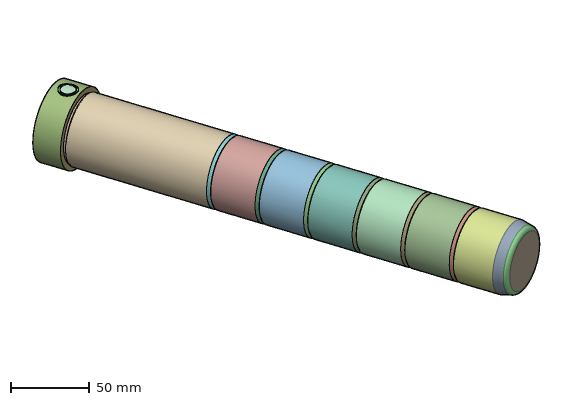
import cadquery as cq

length = 340.0
head_diameter = 56.0
head_length = 20.0
shank_diameter = 50.0

relief_width = 2.0
relief_depth = 1.0

groove_count = 6
first_groove_offset = 123.8
groove_pitch = 35.0
groove_ramp = 2.5
groove_wall = 0.7
groove_depth = 1.0

lead_length = 10.0
lead_drop = 1.7
tip_radius = 3.0

mark_offset = 11.0
mark_diameter = 13.3
mark_line_width = 1.5
mark_depth = 0.7

centre_diameter = 7.5
pilot_diameter = 3.5
cone_depth = 3.5
pilot_depth = 8.5

x_start = -length / 2
x_end = length / 2
head_radius = head_diameter / 2
shank_radius = shank_diameter / 2


def revolve_about_axis(profile):
    """Turn a closed profile, drawn as (x, radius), about the pin axis."""
    return profile.close().revolve(360, (0, 0, 0), (1, 0, 0))


def make_pin():
    head_back = x_start + head_length
    relief_radius = shank_radius - relief_depth
    tip_start_radius = shank_radius - lead_drop

    profile = cq.Workplane("XZ").moveTo(x_start, 0)
    profile = profile.lineTo(x_start, head_radius)
    profile = profile.lineTo(head_back, head_radius)
    profile = profile.lineTo(head_back, relief_radius)
    profile = profile.lineTo(head_back + relief_width, relief_radius)
    profile = profile.lineTo(head_back + relief_width, shank_radius)

    for index in range(groove_count):
        groove_start = x_start + first_groove_offset + index * groove_pitch
        groove_bottom = groove_start + groove_ramp
        profile = profile.lineTo(groove_start, shank_radius)
        profile = profile.lineTo(groove_bottom, shank_radius - groove_depth)
        profile = profile.lineTo(groove_bottom + groove_wall, shank_radius)

    profile = profile.lineTo(x_end - lead_length, shank_radius)
    profile = profile.lineTo(x_end - tip_radius, tip_start_radius)
    profile = profile.radiusArc((x_end, tip_start_radius - tip_radius), tip_radius)
    profile = profile.lineTo(x_end, 0)
    return revolve_about_axis(profile)


def make_centre_drilling():
    cone_end = x_start + cone_depth
    profile = (
        cq.Workplane("XZ")
        .moveTo(x_start, 0)
        .lineTo(x_start, centre_diameter / 2)
        .lineTo(cone_end, pilot_diameter / 2)
        .lineTo(x_start + pilot_depth, pilot_diameter / 2)
        .lineTo(x_start + pilot_depth, 0)
    )
    return revolve_about_axis(profile)


def make_ring_mark():
    """Vertical tube limited to a thin layer under the head's curved surface."""
    tube = (
        cq.Workplane("XY", origin=(x_start + mark_offset, 0, 0))
        .circle(mark_diameter / 2)
        .circle(mark_diameter / 2 - mark_line_width)
        .extrude(head_radius)
    )
    core = (
        cq.Workplane("YZ", origin=(x_start, 0, 0))
        .circle(head_radius - mark_depth)
        .extrude(head_length)
    )
    return tube.cut(core)


result = make_pin().cut(make_centre_drilling()).cut(make_ring_mark())